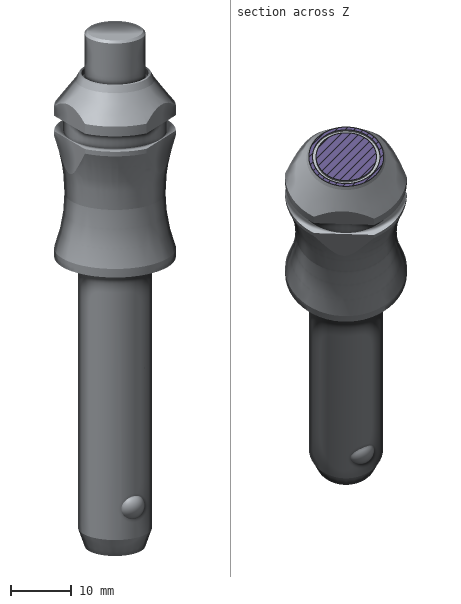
import cadquery as cq
import math

TIP_Z = -50.6
TIP_TAPER_LENGTH = 3.2
BALL_Z = -42.0
FLANGE_TOP_Z = 1.5
WAIST_Z = 11.2
FLARE_TOP_Z = 21.2
GROOVE_BOTTOM_Z = 22.0
GROOVE_TOP_Z = 24.7
CONE_BOTTOM_Z = 26.4
CROWN_EDGE_Z = 31.0
CROWN_TOP_Z = 32.1
BUTTON_TOP_Z = 39.5

SHANK_RADIUS = 6.1
TIP_RADIUS = 5.0
HANDLE_RADIUS = 10.0
WAIST_RADIUS = 8.3
GROOVE_RADIUS = 8.5
CROWN_EDGE_RADIUS = 6.5
CROWN_TOP_RADIUS = 5.9
BUTTON_RADIUS = 5.0
BUTTON_CHAMFER = 0.4

BALL_RADIUS = 2.3
BALL_REACH = 7.25

WELL_RADIUS = 5.5
WELL_DEPTH = 1.0

FLAT_ANGLES = (30, 150, 270)
FLAT_DISTANCE = 8.7


def waist_arc_middle(end_z):
    """Halfway point of the arc that leaves the waist vertically and meets the full handle radius at end_z."""
    height = end_z - WAIST_Z
    flare = HANDLE_RADIUS - WAIST_RADIUS
    arc_radius = (height**2 + flare**2) / (2 * flare)
    half_angle = math.asin(abs(height) / arc_radius) / 2
    radius = WAIST_RADIUS + arc_radius * (1 - math.cos(half_angle))
    z = WAIST_Z + math.copysign(arc_radius * math.sin(half_angle), height)
    return (radius, z)


def make_handle():
    """Waisted handle with a groove below its conical crown."""
    profile = (
        cq.Workplane("XZ")
        .moveTo(0, 0)
        .lineTo(HANDLE_RADIUS, 0)
        .lineTo(HANDLE_RADIUS, FLANGE_TOP_Z)
        .threePointArc(waist_arc_middle(FLANGE_TOP_Z), (WAIST_RADIUS, WAIST_Z))
        .threePointArc(waist_arc_middle(FLARE_TOP_Z), (HANDLE_RADIUS, FLARE_TOP_Z))
        .lineTo(HANDLE_RADIUS, GROOVE_BOTTOM_Z)
        .lineTo(GROOVE_RADIUS, GROOVE_BOTTOM_Z)
        .lineTo(GROOVE_RADIUS, GROOVE_TOP_Z)
        .lineTo(HANDLE_RADIUS, GROOVE_TOP_Z)
        .lineTo(HANDLE_RADIUS, CONE_BOTTOM_Z)
        .lineTo(CROWN_EDGE_RADIUS, CROWN_EDGE_Z)
        .lineTo(CROWN_TOP_RADIUS, CROWN_TOP_Z)
        .lineTo(0, CROWN_TOP_Z)
        .close()
    )
    return profile.revolve(360, (0, 0, 0), (0, 1, 0))


def cut_grip_flats(handle):
    """Three flats on the upper handle, clear of the flange below the waist."""
    height = CROWN_TOP_Z - WAIST_Z
    for angle in FLAT_ANGLES:
        cutter = (
            cq.Workplane("XY", origin=(0, 0, WAIST_Z))
            .rect(HANDLE_RADIUS, 2 * HANDLE_RADIUS)
            .extrude(height)
            .translate((FLAT_DISTANCE + HANDLE_RADIUS / 2, 0, 0))
            .rotate((0, 0, 0), (0, 0, 1), angle)
        )
        handle = handle.cut(cutter)
    return handle


def cut_button_well(handle):
    """Round recess in the crown that the button stands in."""
    well = cq.Workplane("XY", origin=(0, 0, CROWN_TOP_Z)).circle(WELL_RADIUS).extrude(-WELL_DEPTH)
    return handle.cut(well)


def make_button():
    """Release button with a chamfered top."""
    bottom_z = CROWN_TOP_Z - WELL_DEPTH
    button = cq.Workplane("XY", origin=(0, 0, bottom_z)).circle(BUTTON_RADIUS).extrude(BUTTON_TOP_Z - bottom_z)
    return button.faces(">Z").chamfer(BUTTON_CHAMFER)


def make_shank():
    """Straight shank with a tapered tip."""
    profile = (
        cq.Workplane("XZ")
        .moveTo(0, 0)
        .lineTo(SHANK_RADIUS, 0)
        .lineTo(SHANK_RADIUS, TIP_Z + TIP_TAPER_LENGTH)
        .lineTo(TIP_RADIUS, TIP_Z)
        .lineTo(0, TIP_Z)
        .close()
    )
    return profile.revolve(360, (0, 0, 0), (0, 1, 0))


def make_ball(side):
    """Locking ball on the +X (side = 1) or -X (side = -1) side of the shank."""
    center_x = side * (BALL_REACH - BALL_RADIUS)
    return cq.Workplane("XY", origin=(center_x, 0, BALL_Z)).sphere(BALL_RADIUS)


handle = cut_button_well(cut_grip_flats(make_handle()))
result = handle.union(make_button()).union(make_shank())
for side in (-1, 1):
    result = result.union(make_ball(side))